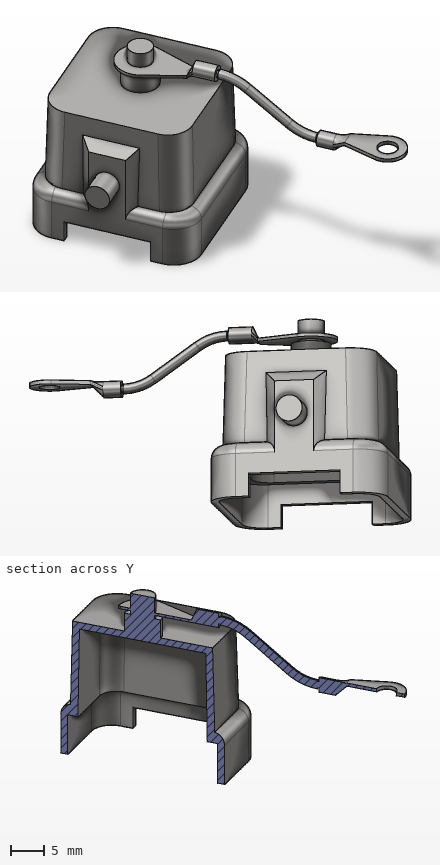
import cadquery as cq
import math

BASE_LENGTH = 27.0
BASE_WIDTH = 26.8
BASE_CORNER_RADIUS = 4.5
BASE_HEIGHT = 8.5
BASE_FILLET = 1.9
HOOD_TOP_Z = 22.5
HOOD_FOOT = (23.8, 24.0)
HOOD_TOP = (23.1, 23.4)
HOOD_CORNER_RADIUS = 4.0
WALL = 1.2
SLOT_WIDTH = 14.0
SLOT_HEIGHT = 3.5

PAD_WIDTH = 6.0
PAD_TOP_Z = 17.5
PAD_DEPTH = 2.5
PEG_DIAMETER = 4.0
PEG_LENGTH = 4.0
PEG_Z = 12.5

COLLAR_DIAMETER = 6.0
COLLAR_HEIGHT = 3.0
STUD_DIAMETER = 4.0
STUD_TOP_Z = 29.0

FERRULE_DIAMETER = 2.5
FERRULE_RADIUS = FERRULE_DIAMETER / 2

STUD_EYE_DIAMETER = 8.0
STUD_EYE_THICKNESS = 0.5
STUD_EYE_BOTTOM_Z = 26.0
STUD_EYE_END_X = 8.0
STUD_FERRULE_X = (8.9, 12.5)
STUD_FERRULE_Z = STUD_EYE_BOTTOM_Z + FERRULE_RADIUS

FREE_EYE_DIAMETER = 6.0
FREE_EYE_HOLE = 3.2
FREE_EYE_THICKNESS = 0.6
FREE_EYE_TOP_Z = 20.95
FREE_EYE_X = 40.1
FREE_EYE_END_X = 33.6
FREE_FERRULE_X = (29.0, 31.7)
FREE_FERRULE_Z = FREE_EYE_TOP_Z - FERRULE_RADIUS

CABLE_DIAMETER = 1.5
CABLE_CORE_DIAMETER = 1.2
CABLE_GAP = 0.3
CABLE_BEND_RADIUS = 8.0


def rounded_rectangle(size, radius):
    return cq.Sketch().rect(*size).vertices().fillet(radius)


def drafted_block(foot, top, radius, bottom_z, top_z):
    """Block that narrows upward while its corner radius stays constant."""
    foot_sketch = rounded_rectangle(foot, radius)
    top_sketch = rounded_rectangle(top, radius).moved(cq.Location(cq.Vector(0, 0, top_z - bottom_z)))
    return cq.Workplane("XY").workplane(offset=bottom_z).placeSketch(foot_sketch, top_sketch).loft(ruled=True)


def shrunk(size):
    return tuple(side - 2 * WALL for side in size)


def make_base():
    outline = rounded_rectangle((BASE_LENGTH, BASE_WIDTH), BASE_CORNER_RADIUS)
    block = cq.Workplane("XY").placeSketch(outline).extrude(BASE_HEIGHT)
    return block.faces(">Z").edges().fillet(BASE_FILLET)


def make_hood():
    return drafted_block(HOOD_FOOT, HOOD_TOP, HOOD_CORNER_RADIUS, BASE_HEIGHT, HOOD_TOP_Z)


def make_cavity():
    base_outline = rounded_rectangle(shrunk((BASE_LENGTH, BASE_WIDTH)), BASE_CORNER_RADIUS - WALL)
    base_pocket = cq.Workplane("XY").placeSketch(base_outline).extrude(BASE_HEIGHT - BASE_FILLET)
    hood_pocket = drafted_block(
        shrunk(HOOD_FOOT), shrunk(HOOD_TOP), HOOD_CORNER_RADIUS - WALL, 0, HOOD_TOP_Z - WALL
    )
    return base_pocket.union(hood_pocket)


def make_slot():
    """Notch in the lower rim, open through both the -Y and +Y walls."""
    return cq.Workplane("XY").box(SLOT_WIDTH, 2 * BASE_WIDTH, SLOT_HEIGHT, centered=(True, True, False))


def make_pad():
    """Pad on the -Y wall: its sides and top spread at 45 degrees toward the wall."""
    bottom_z = BASE_HEIGHT - BASE_FILLET

    def pad_section(spread):
        width = PAD_WIDTH + 2 * spread
        height = PAD_TOP_Z + spread - bottom_z
        return cq.Sketch().push([(0, bottom_z + height / 2)]).rect(width, height)

    inner_section = pad_section(PAD_DEPTH).moved(cq.Location(cq.Vector(0, 0, -PAD_DEPTH)))
    outer_plane = cq.Workplane("XZ", origin=(0, -BASE_WIDTH / 2, 0))
    return outer_plane.placeSketch(pad_section(0), inner_section).loft(ruled=True)


def make_peg():
    peg_plane = cq.Workplane("XZ", origin=(0, -BASE_WIDTH / 2 + PAD_DEPTH, PEG_Z))
    return peg_plane.circle(PEG_DIAMETER / 2).extrude(PAD_DEPTH + PEG_LENGTH)


def make_stud():
    roof = cq.Workplane("XY", origin=(0, 0, HOOD_TOP_Z))
    collar = roof.circle(COLLAR_DIAMETER / 2).extrude(COLLAR_HEIGHT)
    return collar.union(roof.circle(STUD_DIAMETER / 2).extrude(STUD_TOP_Z - HOOD_TOP_Z))


def make_eye_plate(center_x, diameter, end_x, bottom_z, thickness):
    """Teardrop plate: an eye with tangent flanks down to the ferrule width at end_x."""
    radius = diameter / 2
    reach = abs(end_x - center_x)
    toward_end = math.copysign(1, end_x - center_x)
    tangent_angle = math.atan2(FERRULE_RADIUS, reach) + math.acos(radius / math.hypot(reach, FERRULE_RADIUS))
    tangent_x = center_x + toward_end * radius * math.cos(tangent_angle)
    tangent_y = radius * math.sin(tangent_angle)
    outline = (
        cq.Workplane("XY", origin=(0, 0, bottom_z))
        .moveTo(end_x, -FERRULE_RADIUS)
        .lineTo(tangent_x, -tangent_y)
        .threePointArc((center_x - toward_end * radius, 0), (tangent_x, tangent_y))
        .lineTo(end_x, FERRULE_RADIUS)
        .close()
    )
    return outline.extrude(thickness)


def rod_along_x(diameter, start_x, end_x, z):
    return cq.Workplane("YZ", origin=(start_x, 0, z)).circle(diameter / 2).extrude(end_x - start_x)


def make_neck(plate_x, plate_z, thickness, ferrule_x, ferrule_z):
    """Transition from the flat end of an eye plate to the round end of its ferrule."""
    return (
        cq.Workplane("YZ", origin=(plate_x, 0, 0))
        .center(0, plate_z)
        .rect(FERRULE_DIAMETER, thickness)
        .workplane(offset=ferrule_x - plate_x)
        .center(0, ferrule_z - plate_z)
        .circle(FERRULE_RADIUS)
        .loft(ruled=True)
    )


def make_stud_terminal():
    plate = make_eye_plate(0, STUD_EYE_DIAMETER, STUD_EYE_END_X, STUD_EYE_BOTTOM_Z, STUD_EYE_THICKNESS)
    plate_z = STUD_EYE_BOTTOM_Z + STUD_EYE_THICKNESS / 2
    neck = make_neck(STUD_EYE_END_X, plate_z, STUD_EYE_THICKNESS, STUD_FERRULE_X[0], STUD_FERRULE_Z)
    return plate.union(neck).union(rod_along_x(FERRULE_DIAMETER, *STUD_FERRULE_X, STUD_FERRULE_Z))


def make_free_terminal():
    bottom_z = FREE_EYE_TOP_Z - FREE_EYE_THICKNESS
    plate = make_eye_plate(FREE_EYE_X, FREE_EYE_DIAMETER, FREE_EYE_END_X, bottom_z, FREE_EYE_THICKNESS)
    hole = cq.Workplane("XY", origin=(FREE_EYE_X, 0, bottom_z)).circle(FREE_EYE_HOLE / 2)
    plate = plate.cut(hole.extrude(FREE_EYE_THICKNESS))
    plate_z = bottom_z + FREE_EYE_THICKNESS / 2
    neck = make_neck(FREE_EYE_END_X, plate_z, FREE_EYE_THICKNESS, FREE_FERRULE_X[1], FREE_FERRULE_Z)
    return plate.union(neck).union(rod_along_x(FERRULE_DIAMETER, *FREE_FERRULE_X, FREE_FERRULE_Z))


def make_cable():
    """S-shaped cable: two equal bends joined by their common tangent, with a bare core at each end."""
    start_x = STUD_FERRULE_X[1] + CABLE_GAP
    end_x = FREE_FERRULE_X[0] - CABLE_GAP
    length = end_x - start_x
    drop = STUD_FERRULE_Z - FREE_FERRULE_Z
    radius = CABLE_BEND_RADIUS

    center_rise = 2 * radius - drop
    center_distance = math.hypot(length, center_rise)
    bend_angle = math.asin(2 * radius / center_distance) - math.atan2(center_rise, length)

    def bend_offset(angle):
        return radius * math.sin(angle), radius * (1 - math.cos(angle))

    half_x, half_z = bend_offset(bend_angle / 2)
    full_x, full_z = bend_offset(bend_angle)
    path = (
        cq.Workplane("XZ")
        .moveTo(start_x, STUD_FERRULE_Z)
        .threePointArc(
            (start_x + half_x, STUD_FERRULE_Z - half_z), (start_x + full_x, STUD_FERRULE_Z - full_z)
        )
        .lineTo(end_x - full_x, FREE_FERRULE_Z + full_z)
        .threePointArc((end_x - half_x, FREE_FERRULE_Z + half_z), (end_x, FREE_FERRULE_Z))
    )
    jacket_start = cq.Workplane("YZ", origin=(start_x, 0, STUD_FERRULE_Z))
    jacket = jacket_start.circle(CABLE_DIAMETER / 2).sweep(path)
    upper_core = rod_along_x(CABLE_CORE_DIAMETER, STUD_FERRULE_X[1], start_x, STUD_FERRULE_Z)
    lower_core = rod_along_x(CABLE_CORE_DIAMETER, end_x, FREE_FERRULE_X[0], FREE_FERRULE_Z)
    return jacket.union(upper_core).union(lower_core)


def make_cover():
    cover = make_base().union(make_hood())
    pad = make_pad()
    peg = make_peg()
    for pad_or_peg in (pad, peg):
        cover = cover.union(pad_or_peg).union(pad_or_peg.mirror("XZ"))
    return cover.cut(make_cavity()).cut(make_slot())


result = make_cover().union(make_stud())
for lanyard_part in (make_stud_terminal(), make_cable(), make_free_terminal()):
    result = result.union(lanyard_part)